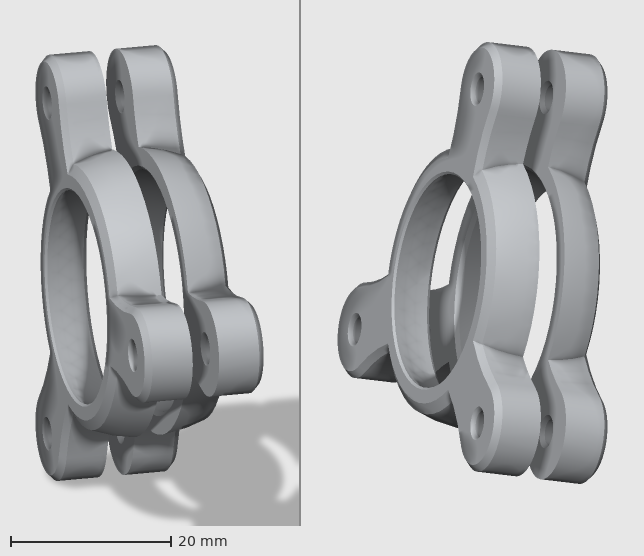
import cadquery as cq
import math

overall_height = 55.25
half_thickness = 6.0
gap = 3.4
inner_face = gap / 2
outer_face = inner_face + half_thickness

ring_ball_radius = 18.1
socket_radius = 15.35
ring_chamfer_depth = 0.7
ring_face_radius = 15.4
bore_chamfer = 0.3
socket_chamfer = 0.5

ear_count = 3
ear_spacing = 360 / ear_count
ear_distance = 25.0
ear_radius = overall_height / 2 - ear_distance * math.sin(math.radians(ear_spacing))
ear_chamfer = 0.8
waist_distance = 17.4
waist_half_width = 5.05
ear_root_distance = 14.35

hole_diameter = 3.2
hole_chamfer = 0.5


def ball_slice_radius(ball_radius, y):
    """Radius of the circle where a ball centred on the origin meets the plane at y."""
    return math.sqrt(ball_radius**2 - y**2)


def make_ring():
    """Solid disc with a ball-shaped rim and a chamfer at the outer face."""
    chamfer_start = outer_face - ring_chamfer_depth
    middle = (inner_face + chamfer_start) / 2
    return (
        cq.Workplane("XY")
        .moveTo(0, inner_face)
        .lineTo(ball_slice_radius(ring_ball_radius, inner_face), inner_face)
        .threePointArc(
            (ball_slice_radius(ring_ball_radius, middle), middle),
            (ball_slice_radius(ring_ball_radius, chamfer_start), chamfer_start),
        )
        .lineTo(ring_face_radius, outer_face)
        .lineTo(0, outer_face)
        .close()
        .revolve(360, (0, 0, 0), (0, 1, 0))
    )


def make_ear():
    """Ear along +X whose concave flanks run tangent into its round end."""
    reach = ear_distance - waist_distance
    flank_radius = (reach**2 + waist_half_width**2 - ear_radius**2) / (2 * (ear_radius - waist_half_width))
    flank_height = waist_half_width + flank_radius
    flank_angle = math.atan2(reach, flank_height)

    def flank_point(angle):
        """Point on the upper flank, with the angle measured from the waist."""
        x = waist_distance + flank_radius * math.sin(angle)
        return x, flank_height - flank_radius * math.cos(angle)

    root_angle = math.asin((ear_root_distance - waist_distance) / flank_radius)
    root_x, root_z = flank_point(root_angle)
    waist_x, waist_z = flank_point(0)
    end_x, end_z = flank_point(flank_angle)

    return (
        cq.Workplane("XZ", origin=(0, inner_face, 0))
        .moveTo(0, root_z)
        .lineTo(root_x, root_z)
        .threePointArc((waist_x, waist_z), (end_x, end_z))
        .threePointArc((ear_distance + ear_radius, 0), (end_x, -end_z))
        .threePointArc((waist_x, -waist_z), (root_x, -root_z))
        .lineTo(0, -root_z)
        .close()
        .extrude(-half_thickness)
        .faces(">Y")
        .edges()
        .chamfer(ear_chamfer)
    )


def make_socket():
    """Ball-shaped bore, opened by a small chamfer at each face."""
    socket_start = inner_face + socket_chamfer
    socket_end = outer_face - bore_chamfer
    middle = (socket_start + socket_end) / 2
    start_radius = ball_slice_radius(socket_radius, socket_start)
    end_radius = ball_slice_radius(socket_radius, socket_end)
    return (
        cq.Workplane("XY")
        .moveTo(0, inner_face)
        .lineTo(start_radius + socket_chamfer, inner_face)
        .lineTo(start_radius, socket_start)
        .threePointArc((ball_slice_radius(socket_radius, middle), middle), (end_radius, socket_end))
        .lineTo(end_radius + bore_chamfer, outer_face)
        .lineTo(0, outer_face)
        .close()
        .revolve(360, (0, 0, 0), (0, 1, 0))
    )


def make_screw_hole():
    """Through hole in the ear along +X, chamfered at both faces."""
    mouth_radius = hole_diameter / 2 + hole_chamfer
    return (
        cq.Workplane("XY", origin=(ear_distance, 0, 0))
        .moveTo(0, inner_face)
        .lineTo(mouth_radius, inner_face)
        .lineTo(hole_diameter / 2, inner_face + hole_chamfer)
        .lineTo(hole_diameter / 2, outer_face - hole_chamfer)
        .lineTo(mouth_radius, outer_face)
        .lineTo(0, outer_face)
        .close()
        .revolve(360, (0, 0, 0), (0, 1, 0))
    )


def make_clamp_half():
    """Clamp half on the +Y side of the gap."""
    half = make_ring()
    ear_angles = [index * ear_spacing for index in range(ear_count)]
    for angle in ear_angles:
        half = half.union(make_ear().rotate((0, 0, 0), (0, 1, 0), angle))
    half = half.cut(make_socket())
    for angle in ear_angles:
        half = half.cut(make_screw_hole().rotate((0, 0, 0), (0, 1, 0), angle))
    return half


back_half = make_clamp_half()
front_half = back_half.mirror("XZ")

result = cq.Compound.makeCompound([front_half.val(), back_half.val()])